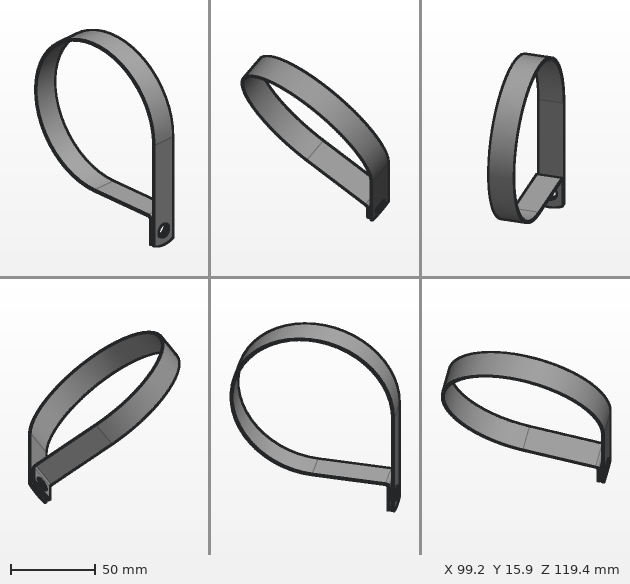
import cadquery as cq

outer_diameter = 99.2
height = 119.4
width = 15.9
thickness = 1.2
ear_gap = 1.5
bend_inner_radius = 1.2
hole_diameter = 8.8
hole_to_tip = 9.5
tip_rise = 1.8

outer_radius = outer_diameter / 2
inner_radius = outer_radius - thickness
bend_outer_radius = bend_inner_radius + thickness
tip_z = outer_radius - height
short_ear_outer_x = inner_radius - ear_gap
short_ear_inner_x = short_ear_outer_x - thickness
bend_x = short_ear_inner_x - bend_inner_radius
bend_z = -outer_radius - bend_inner_radius


def make_strip():
    """Bent strip profile, extruded symmetrically across its width."""
    half_width = width / 2
    diagonal = cq.Vector(1, 1).normalized()
    outer_bend_mid = (bend_x + bend_outer_radius * diagonal.x, bend_z + bend_outer_radius * diagonal.y)
    inner_bend_mid = (bend_x + bend_inner_radius * diagonal.x, bend_z + bend_inner_radius * diagonal.y)
    return (
        cq.Workplane("XZ")
        .moveTo(outer_radius, tip_z)
        .lineTo(outer_radius, 0)
        .threePointArc((-outer_radius * diagonal.x, outer_radius * diagonal.y), (0, -outer_radius))
        .lineTo(bend_x, -outer_radius)
        .threePointArc(inner_bend_mid, (short_ear_inner_x, bend_z))
        .lineTo(short_ear_inner_x, tip_z)
        .lineTo(short_ear_outer_x, tip_z)
        .lineTo(short_ear_outer_x, bend_z)
        .threePointArc(outer_bend_mid, (bend_x, -inner_radius))
        .lineTo(0, -inner_radius)
        .threePointArc((-inner_radius * diagonal.x, inner_radius * diagonal.y), (inner_radius, 0))
        .lineTo(inner_radius, tip_z)
        .close()
        .extrude(half_width, both=True)
    )


def make_envelope():
    """Oversized block with a rounded lower edge that trims both ear tips."""
    half_width = width / 2
    return (
        cq.Workplane("YZ")
        .moveTo(-half_width, outer_diameter)
        .lineTo(-half_width, tip_z + tip_rise)
        .threePointArc((0, tip_z), (half_width, tip_z + tip_rise))
        .lineTo(half_width, outer_diameter)
        .close()
        .extrude(outer_diameter, both=True)
    )


def make_bolt_hole():
    """Cylinder along X through both ears."""
    return (
        cq.Workplane("YZ")
        .center(0, tip_z + hole_to_tip)
        .circle(hole_diameter / 2)
        .extrude(outer_radius)
    )


result = make_strip().intersect(make_envelope()).cut(make_bolt_hole())